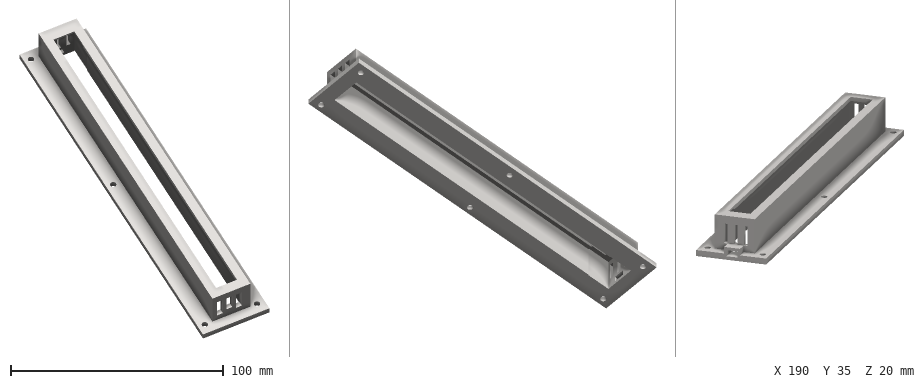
import cadquery as cq

plate_length = 190.0
plate_width = 35.0
plate_thickness = 3.0

overall_height = 20.0
housing_length = 180.0
housing_width = 20.0
end_wall = 2.5
housing_start = (plate_length - housing_length) / 2
housing_end = housing_start + housing_length

window_start = 11.5
window_end = 180.0
window_width = 11.0

compartment_start = housing_start + end_wall
compartment_end = 20.5
compartment_width = 15.5
compartment_lip = 1.0
cavity_end = housing_end - end_wall
cavity_width = 15.0
cavity_lip = 2.0

screw_diameter = 3.0
screw_x_positions = (5.0, 90.0, plate_length - 5.0)
screw_y_positions = (-14.0, 13.5)

feature_center_y = -0.5

near_slot_width = 2.0
far_slot_width = 3.0
slot_pitch = 5.0
slot_bottom = 6.25
slot_top = 16.0
far_middle_slot_bottom = 8.0

connector_width = 8.0
connector_height = 6.25
socket_width = 5.5
socket_bottom = 1.75
socket_top = 4.75


def block(x_start, x_end, width, bottom, top, center_y=0.0):
    """Box between two X positions and two heights, centred on center_y."""
    size = (x_end - x_start, width, top - bottom)
    return cq.Workplane("XY").box(*size, centered=(False, True, False)).translate((x_start, center_y, bottom))


def make_body():
    plate = block(0, plate_length, plate_width, 0, plate_thickness)
    housing = block(housing_start, housing_end, housing_width, 0, overall_height)
    connector = block(0, housing_start, connector_width, 0, connector_height, feature_center_y)
    return plate.union(housing).union(connector)


def cut_interior(body):
    window = block(window_start, window_end, window_width, 0, overall_height)
    compartment = block(
        compartment_start, compartment_end, compartment_width, 0, overall_height - compartment_lip
    )
    cavity = block(compartment_end, cavity_end, cavity_width, 0, overall_height - cavity_lip)
    return body.cut(window).cut(compartment).cut(cavity)


def cut_screw_holes(body):
    centers = [(x, y) for x in screw_x_positions for y in screw_y_positions]
    holes = cq.Workplane("XY").pushPoints(centers).circle(screw_diameter / 2).extrude(plate_thickness)
    return body.cut(holes)


def cut_slots(body):
    for index in (-1, 0, 1):
        near_y = feature_center_y + index * slot_pitch
        far_y = near_y - (far_slot_width - near_slot_width) / 2
        far_bottom = far_middle_slot_bottom if index == 0 else slot_bottom
        near_slot = block(housing_start, compartment_start, near_slot_width, slot_bottom, slot_top, near_y)
        far_slot = block(cavity_end, housing_end, far_slot_width, far_bottom, slot_top, far_y)
        body = body.cut(near_slot).cut(far_slot)
    return body


def cut_socket(body):
    socket = block(0, compartment_start, socket_width, socket_bottom, socket_top, feature_center_y)
    return body.cut(socket)


body = cut_socket(cut_slots(cut_screw_holes(cut_interior(make_body()))))
result = body.translate((-plate_length / 2, 0, 0))